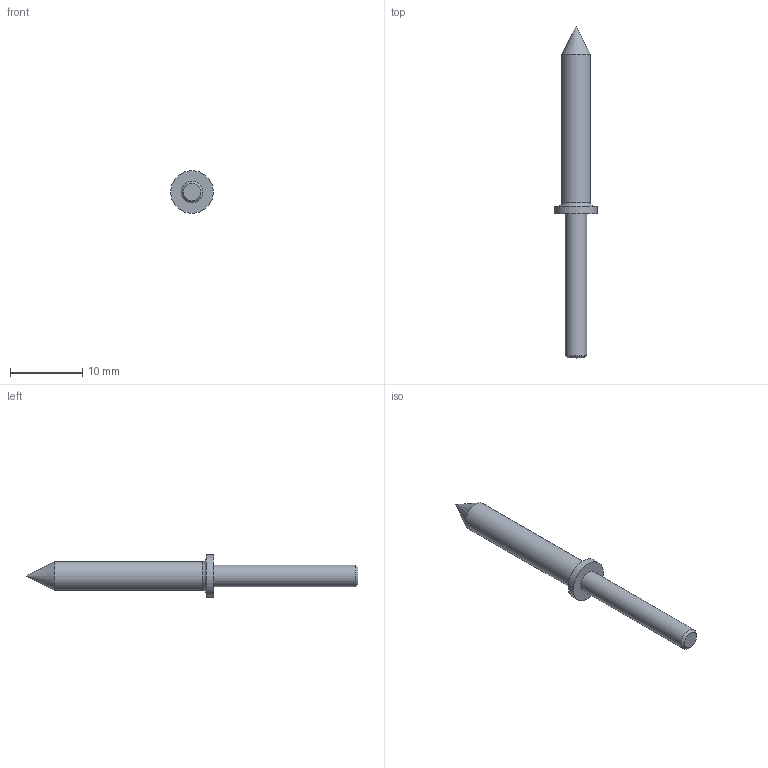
import cadquery as cq
import math

stem_diameter = 3.0
stem_length = 20.0
stem_chamfer = 0.3
collar_diameter = 5.9
collar_thickness = 1.0
body_diameter = 4.0
body_and_tip_length = 25.0
root_fillet = 0.5
tip_length = 3.9

stem_radius = stem_diameter / 2
collar_radius = collar_diameter / 2
body_radius = body_diameter / 2
stem_end = -stem_length
tip_end = collar_thickness + body_and_tip_length
tip_base = tip_end - tip_length

fillet_inset = root_fillet * (1 - math.sqrt(0.5))


def turned_pin():
    """Revolve the half profile: chamfered stem, collar, filleted body and conical tip."""
    profile = (
        cq.Workplane("XY")
        .moveTo(0, stem_end)
        .lineTo(stem_radius - stem_chamfer, stem_end)
        .lineTo(stem_radius, stem_end + stem_chamfer)
        .lineTo(stem_radius, 0)
        .lineTo(collar_radius, 0)
        .lineTo(collar_radius, collar_thickness)
        .lineTo(body_radius + root_fillet, collar_thickness)
        .threePointArc(
            (body_radius + fillet_inset, collar_thickness + fillet_inset),
            (body_radius, collar_thickness + root_fillet),
        )
        .lineTo(body_radius, tip_base)
        .lineTo(0, tip_end)
        .close()
    )
    return profile.revolve(360, (0, 0, 0), (0, 1, 0))


result = turned_pin()